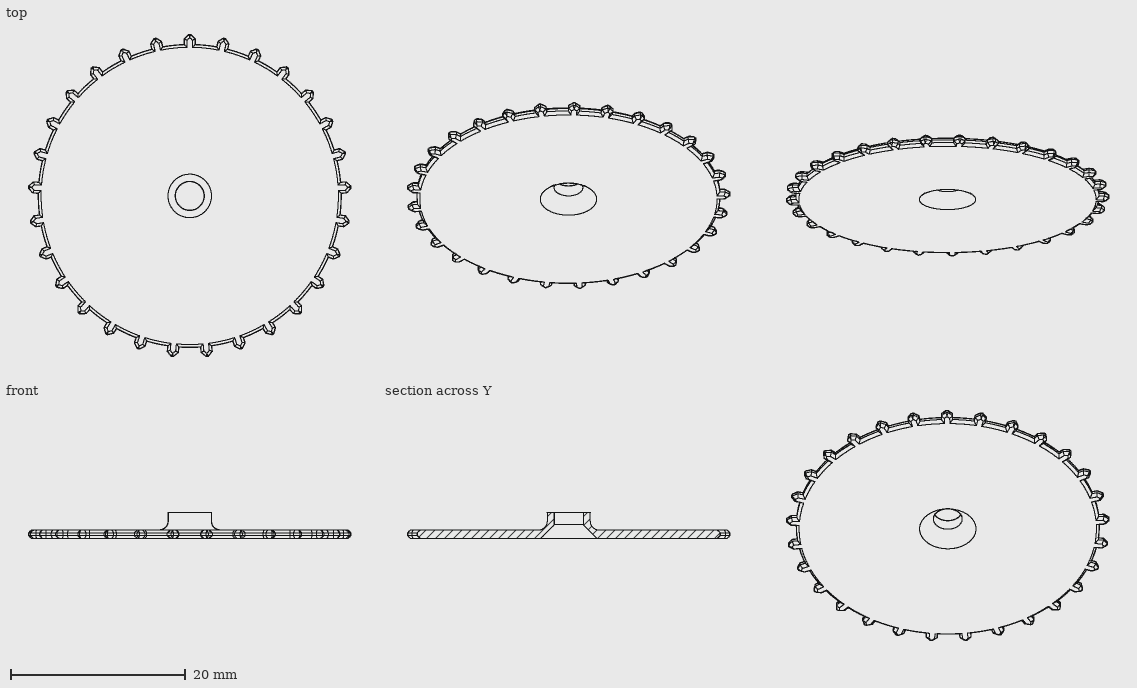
import cadquery as cq
import math

overall_width = 36.95

plate_thickness = 1.0
root_radius = 17.37
edge_chamfer = 0.35

tooth_count = 29
tooth_width = 1.3
tooth_tip_width = 0.25
tooth_root_overlap = 1.85
tooth_pitch = 360.0 / tooth_count

hub_diameter = 5.0
bore_diameter = 3.3
total_height = 3 * plate_thickness
hub_fillet = plate_thickness
flare_height = 1.6

side_angle = math.radians(tooth_pitch / 4)
tip_radius = (overall_width / 2 - tooth_tip_width / 2 * math.sin(side_angle)) / math.cos(side_angle)
shoulder_radius = tip_radius - (tooth_width - tooth_tip_width) / 2


def bevelled_plate(outline):
    """Plate with a straight middle band and a 45 degree bevel towards each face."""
    band = plate_thickness - 2 * edge_chamfer
    middle = outline(edge_chamfer).extrude(band)
    upper = outline(edge_chamfer + band).extrude(edge_chamfer, taper=45)
    lower = outline(edge_chamfer).extrude(-edge_chamfer, taper=45)
    return middle.union(upper).union(lower)


def tooth_outline(z):
    """Pointed tooth along +Y with a narrow flat tip."""
    half_width = tooth_width / 2
    half_tip = tooth_tip_width / 2
    inner_radius = root_radius - tooth_root_overlap
    return (
        cq.Workplane("XY", origin=(0, 0, z))
        .moveTo(-half_width, inner_radius)
        .lineTo(half_width, inner_radius)
        .lineTo(half_width, shoulder_radius)
        .lineTo(half_tip, tip_radius)
        .lineTo(-half_tip, tip_radius)
        .lineTo(-half_width, shoulder_radius)
        .close()
    )


def make_disc():
    disc = cq.Workplane("XY").circle(root_radius).extrude(plate_thickness)
    return disc.edges().chamfer(edge_chamfer)


def make_hub():
    """Hub revolved about Z, with a concave fillet flaring out onto the disc."""
    hub_radius = hub_diameter / 2
    foot_radius = hub_radius + hub_fillet
    fillet_top = plate_thickness + hub_fillet
    arc_inset = hub_fillet * math.sin(math.radians(45))
    arc_middle = (foot_radius - arc_inset, fillet_top - arc_inset)
    return (
        cq.Workplane("XZ")
        .lineTo(foot_radius, 0)
        .lineTo(foot_radius, plate_thickness)
        .threePointArc(arc_middle, (hub_radius, fillet_top))
        .lineTo(hub_radius, total_height)
        .lineTo(0, total_height)
        .close()
        .revolve()
    )


def make_bore():
    """Through bore that opens out at 45 degrees towards the underside."""
    bore_radius = bore_diameter / 2
    return (
        cq.Workplane("XZ")
        .lineTo(bore_radius + flare_height, 0)
        .lineTo(bore_radius, flare_height)
        .lineTo(bore_radius, total_height)
        .lineTo(0, total_height)
        .close()
        .revolve()
    )


tooth = bevelled_plate(tooth_outline)
sprocket = make_disc()
for index in range(tooth_count):
    sprocket = sprocket.union(tooth.rotate((0, 0, 0), (0, 0, 1), index * tooth_pitch))

result = sprocket.union(make_hub()).cut(make_bore())